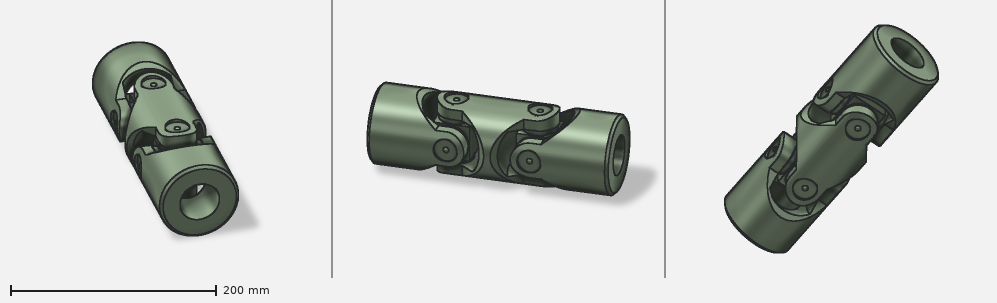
import cadquery as cq
import math


LENGTH = 245.0
BODY_RADIUS = 80.0 / 2
PIVOT_X = 85.0 / 2

ARM_HALF_WIDTH = 38.0 / 2
ARM_STRAIGHT = 11.0
SHOULDER_X = 39.2
SLOT_HALF_WIDTH = 24.5
SLOT_DEPTH = 41.2
DISC_RADIUS = 83.0
RIM_RADIUS = 33.3

BORE_DIAMETER = 40.0
CHAMFER = 3.0

BLOCK_SIDE = 37.7
PIN_DIAMETER = 24.0
PIN_REACH = 37.0
COLLAR_DIAMETER = 35.0
NIB_DIAMETER = 6.0
NIB_HEIGHT = 1.5


def fork_outline(body_length):
    """Outline in XY: rounded arm tip at -X, sloped shoulders, full body at +X."""
    return (
        cq.Workplane("XY")
        .moveTo(0, ARM_HALF_WIDTH)
        .lineTo(ARM_STRAIGHT, ARM_HALF_WIDTH)
        .lineTo(SHOULDER_X, BODY_RADIUS)
        .lineTo(body_length, BODY_RADIUS)
        .lineTo(body_length, -BODY_RADIUS)
        .lineTo(SHOULDER_X, -BODY_RADIUS)
        .lineTo(ARM_STRAIGHT, -ARM_HALF_WIDTH)
        .lineTo(0, -ARM_HALF_WIDTH)
        .threePointArc((-ARM_HALF_WIDTH, 0), (0, ARM_HALF_WIDTH))
        .close()
        .extrude(BODY_RADIUS, both=True)
    )


def fork_slot():
    """Slot between the arms: a disc turned about an axis along Z, with a convex rim."""
    axis_x = SLOT_DEPTH - DISC_RADIUS
    rim_center_radius = DISC_RADIUS - RIM_RADIUS
    corner_radius = rim_center_radius + math.sqrt(RIM_RADIUS**2 - SLOT_HALF_WIDTH**2)
    section_plane = cq.Plane(origin=(axis_x, 0, 0), xDir=(-1, 0, 0), normal=(0, 1, 0))
    return (
        cq.Workplane(section_plane)
        .moveTo(0, SLOT_HALF_WIDTH)
        .lineTo(corner_radius, SLOT_HALF_WIDTH)
        .threePointArc((DISC_RADIUS, 0), (corner_radius, -SLOT_HALF_WIDTH))
        .lineTo(0, -SLOT_HALF_WIDTH)
        .close()
        .revolve(360, (0, 0, 0), (0, 1, 0))
    )


def round_bar(body_length):
    """Plain bar along X, from the arm tips to the far end of the body."""
    return (
        cq.Workplane("YZ", origin=(-ARM_HALF_WIDTH, 0, 0))
        .circle(BODY_RADIUS)
        .extrude(ARM_HALF_WIDTH + body_length)
    )


def fork(bar, body_length):
    """Bar cut to a fork with its pivot at the origin and pin holes along Z."""
    pin_holes = cq.Workplane("XY").circle(PIN_DIAMETER / 2).extrude(BODY_RADIUS, both=True)
    return bar.intersect(fork_outline(body_length)).cut(fork_slot()).cut(pin_holes)


def make_hub(angle):
    """Bored hub with its pin holes along Y, turned about Z to its end of the joint."""
    body_length = LENGTH / 2 - PIVOT_X
    bar = round_bar(body_length).faces(">X").chamfer(CHAMFER)
    bore = cq.Workplane("YZ").circle(BORE_DIAMETER / 2).extrude(body_length).cut(fork_slot())
    return (
        fork(bar, body_length)
        .cut(bore)
        .rotate((0, 0, 0), (1, 0, 0), 90)
        .translate((PIVOT_X, 0, 0))
        .rotate((0, 0, 0), (0, 0, 1), angle)
    )


def make_center_yoke():
    """Yoke with a fork at both ends and its pin holes along Z."""
    body_length = 2 * PIVOT_X + ARM_HALF_WIDTH
    left_fork = fork(round_bar(body_length), body_length).translate((-PIVOT_X, 0, 0))
    right_fork = left_fork.rotate((0, 0, 0), (0, 0, 1), 180)
    return left_fork.intersect(right_fork)


def cross_arm():
    """Collar, pin and domed nib along +Z from the pivot."""
    collar = cq.Workplane("XY").circle(COLLAR_DIAMETER / 2).extrude(SLOT_HALF_WIDTH)
    nib_radius = NIB_DIAMETER / 2
    dome_radius = (nib_radius**2 + NIB_HEIGHT**2) / (2 * NIB_HEIGHT)
    pin = (
        cq.Workplane("XZ")
        .lineTo(PIN_DIAMETER / 2, 0)
        .lineTo(PIN_DIAMETER / 2, PIN_REACH)
        .lineTo(nib_radius, PIN_REACH)
        .radiusArc((0, PIN_REACH + NIB_HEIGHT), -dome_radius)
        .close()
        .revolve(360, (0, 0, 0), (0, 1, 0))
    )
    return collar.union(pin)


def make_cross(pivot_x):
    """Cubic block with four arms, along +Y, -Y, +Z and -Z."""
    cross = cq.Workplane("XY").box(BLOCK_SIDE, BLOCK_SIDE, BLOCK_SIDE)
    for angle in (0, 90, 180, 270):
        cross = cross.union(cross_arm().rotate((0, 0, 0), (1, 0, 0), angle))
    return cross.translate((pivot_x, 0, 0))


hubs = [make_hub(angle) for angle in (0, 180)]
center_yoke = make_center_yoke()
crosses = [make_cross(pivot_x) for pivot_x in (-PIVOT_X, PIVOT_X)]

result = cq.Compound.makeCompound([
    *[hub.val() for hub in hubs],
    center_yoke.val(),
    *[cross.val() for cross in crosses],
])